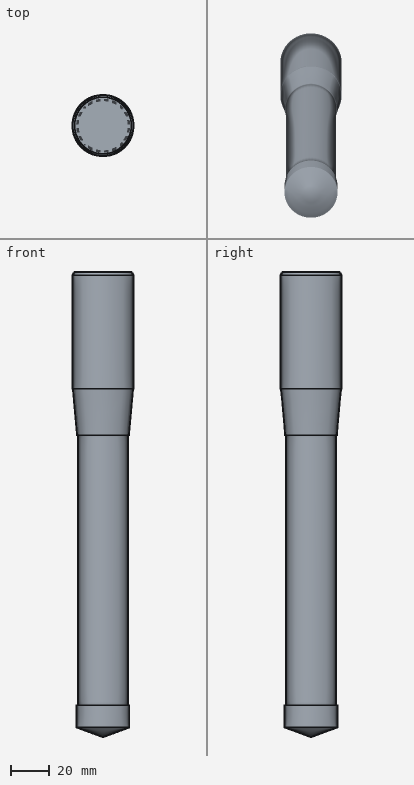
import cadquery as cq

total_length = 241.0
shank_diameter = 31.8

head_diameter = 27.5
point_height = 5.0
head_height = 16.6

neck_diameter = 26.0
taper_bottom_diameter = 27.0
taper_bottom_z = 156.3
taper_top_diameter = 31.3
taper_height = 24.0
chamfer_height = 1.7
chamfer_width = 1.2

shank_radius = shank_diameter / 2
head_radius = head_diameter / 2
neck_radius = neck_diameter / 2
taper_bottom_radius = taper_bottom_diameter / 2
taper_top_radius = taper_top_diameter / 2
taper_top_z = taper_bottom_z + taper_height


def revolve_about_z(profile):
    """Revolve a closed half profile of (radius, z) points about the Z axis."""
    return cq.Workplane("XZ").polyline(profile).close().revolve(360, (0, 0), (0, 1))


def make_drill_head():
    """Short cylinder that ends in a shallow conical point."""
    return revolve_about_z([
        (0, 0),
        (head_radius, point_height),
        (head_radius, head_height),
        (0, head_height),
    ])


def make_holder():
    """Slim neck that widens through a taper and a small step to a chamfered shank."""
    return revolve_about_z([
        (0, head_height),
        (neck_radius, head_height),
        (neck_radius, taper_bottom_z),
        (taper_bottom_radius, taper_bottom_z),
        (taper_top_radius, taper_top_z),
        (shank_radius, taper_top_z),
        (shank_radius, total_length - chamfer_height),
        (shank_radius - chamfer_width, total_length),
        (0, total_length),
    ])


drill_head = make_drill_head()
holder = make_holder()

result = cq.Compound.makeCompound([drill_head.val(), holder.val()])